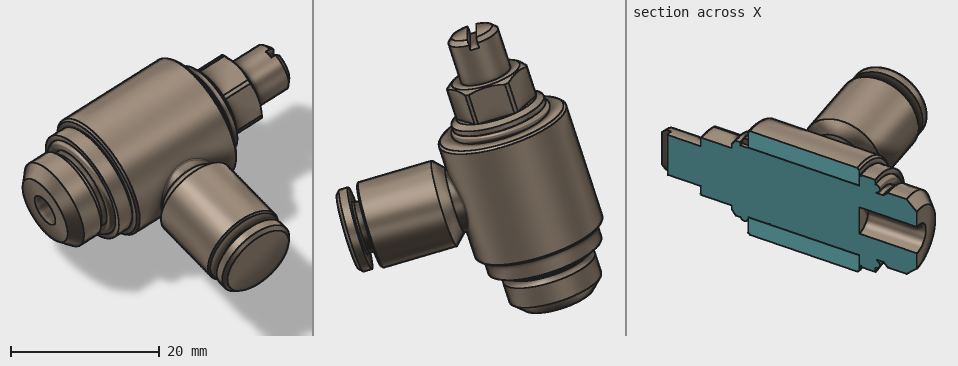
import cadquery as cq
import math


HOUSING_DIAMETER = 18.0
HOUSING_LENGTH = 17.05
HOUSING_CHAMFER = 0.3
HOUSING_FRONT = -HOUSING_LENGTH / 2
HOUSING_BACK = HOUSING_LENGTH / 2

PORT_NECK_DIAMETER = 9.0
PORT_DIAMETER = 12.0
PORT_CONE_START = 9.25
PORT_ROOT_FILLET = 0.2
PORT_CONE_LENGTH = (PORT_DIAMETER - PORT_NECK_DIAMETER) / 2
PORT_END = 21.25
PORT_CHAMFER = 0.25

RING_NECK_DIAMETER = 7.1
RING_FLANGE_DIAMETER = 11.5
RING_FLANGE_START = 22.6
RING_TAPER_LENGTH = 0.3
RING_TAPER_RISE = 0.15
RING_CHAMFER = 0.5
RING_END = 24.3

SHANK_DIAMETER = 11.95

NOSE_DIAMETER = 13.0
NOSE_NECK_DIAMETER = 11.6
NOSE_TIP_CHAMFER = 1.6
NOSE_LENGTH = 4.45
NOSE_BACK_CHAMFER = (NOSE_DIAMETER - NOSE_NECK_DIAMETER) / 2
COLLAR_DIAMETER = 16.0
COLLAR_LENGTH = 2.25
SPACER_DIAMETER = 15.55
SPACER_LENGTH = 0.2
SEAL_TUBE_RADIUS = 0.7
SEAL_CENTER_RADIUS = 6.5
BORE_DIAMETER = 4.5
BORE_DEPTH = 8.8

CLIP_THICKNESS = 1.15
CLIP_OUTER_DIAMETER = 13.85
CLIP_GAP = 0.5
FLANGE_DIAMETER = 13.05
FLANGE_LENGTH = 1.35
FLANGE_BEVEL_LENGTH = 0.6
FLANGE_BEVEL_DEPTH = 0.85
HEX_ACROSS_FLATS = 10.0
HEX_CORNER_DIAMETER = 11.22
HEX_LENGTH = 4.8
HEX_TOP_DIAMETER = 9.55
HEX_CHAMFER_ANGLE = 30.0
STEM_DIAMETER = 7.0
STEM_CHAMFER = 0.65
SLOT_WIDTH = 1.22
SLOT_DEPTH = 1.35

TOTAL_LENGTH = 39.5
COLLAR_BACK = HOUSING_FRONT - SPACER_LENGTH
COLLAR_FRONT = COLLAR_BACK - COLLAR_LENGTH
NOSE_TIP = -17.35
NOSE_BACK = NOSE_TIP + NOSE_LENGTH
CLIP_BACK = HOUSING_BACK + CLIP_THICKNESS
FLANGE_BACK = CLIP_BACK + FLANGE_LENGTH
HEX_BACK = FLANGE_BACK + HEX_LENGTH
STEM_END = NOSE_TIP + TOTAL_LENGTH


def cylinder_y(diameter, y_start, y_end):
    """Solid cylinder on the Y axis between two stations."""
    return cq.Workplane("XZ", origin=(0, y_start, 0)).circle(diameter / 2).extrude(y_start - y_end)


def revolve_y(points):
    """Solid of revolution about Y from (radius, y) points; the outline closes along the axis."""
    outline = [(0, points[0][1]), *points, (0, points[-1][1])]
    return cq.Workplane("XY").polyline(outline).close().revolve(360, (0, 0), (0, 1))


def make_port():
    """Neck, cone, port sleeve and release ring, turned about the X axis."""
    neck_radius = PORT_NECK_DIAMETER / 2
    port_radius = PORT_DIAMETER / 2
    ring_neck_radius = RING_NECK_DIAMETER / 2
    ring_radius = RING_FLANGE_DIAMETER / 2
    outline = [
        (0, 0),
        (0, neck_radius),
        (PORT_CONE_START, neck_radius),
        (PORT_CONE_START + PORT_CONE_LENGTH, port_radius),
        (PORT_END - PORT_CHAMFER, port_radius),
        (PORT_END, port_radius - PORT_CHAMFER),
        (PORT_END, ring_neck_radius),
        (RING_FLANGE_START - RING_TAPER_LENGTH, ring_neck_radius),
        (RING_FLANGE_START, ring_neck_radius + RING_TAPER_RISE),
        (RING_FLANGE_START, ring_radius),
        (RING_END - RING_CHAMFER, ring_radius),
        (RING_END, ring_radius - RING_CHAMFER),
        (RING_END, 0),
    ]
    return cq.Workplane("XY").polyline(outline).close().revolve(360, (0, 0), (1, 0))


def make_housing():
    """Swivel sleeve with its port, filleted at the port root and bored for the bolt shank."""
    sleeve = cylinder_y(HOUSING_DIAMETER, HOUSING_FRONT, HOUSING_BACK)
    sleeve = sleeve.faces("<Y or >Y").chamfer(HOUSING_CHAMFER)
    bore = cylinder_y(SHANK_DIAMETER, HOUSING_FRONT, HOUSING_BACK)
    body = sleeve.union(make_port())
    half_neck = PORT_NECK_DIAMETER / 2
    root_zone = cq.selectors.BoxSelector(
        (0, -half_neck, -half_neck),
        (HOUSING_DIAMETER / 2, half_neck, half_neck),
    )
    body = body.edges(root_zone).fillet(PORT_ROOT_FILLET)
    return body.cut(bore)


def make_turned_bolt():
    """Turned outline of the bolt from the nose tip to the back of the flange."""
    nose_radius = NOSE_DIAMETER / 2
    neck_radius = NOSE_NECK_DIAMETER / 2
    collar_radius = COLLAR_DIAMETER / 2
    spacer_radius = SPACER_DIAMETER / 2
    shank_radius = SHANK_DIAMETER / 2
    flange_radius = FLANGE_DIAMETER / 2
    return revolve_y([
        (nose_radius - NOSE_TIP_CHAMFER, NOSE_TIP),
        (nose_radius, NOSE_TIP + NOSE_TIP_CHAMFER),
        (nose_radius, NOSE_BACK),
        (neck_radius, NOSE_BACK + NOSE_BACK_CHAMFER),
        (neck_radius, COLLAR_FRONT),
        (collar_radius, COLLAR_FRONT),
        (collar_radius, COLLAR_BACK),
        (spacer_radius, COLLAR_BACK),
        (spacer_radius, HOUSING_FRONT),
        (shank_radius, HOUSING_FRONT),
        (shank_radius, CLIP_BACK),
        (flange_radius, CLIP_BACK),
        (flange_radius, FLANGE_BACK - FLANGE_BEVEL_LENGTH),
        (flange_radius - FLANGE_BEVEL_DEPTH, FLANGE_BACK),
    ])


def make_seal():
    """Sealing ring bedded half deep in the front face of the collar."""
    profile = cq.Workplane("XY").center(SEAL_CENTER_RADIUS, COLLAR_FRONT).circle(SEAL_TUBE_RADIUS)
    return profile.revolve(360, (-SEAL_CENTER_RADIUS, 0), (-SEAL_CENTER_RADIUS, 1))


def make_clip():
    """Round-edged retaining ring with a gap on the +Z side."""
    inner_radius = SHANK_DIAMETER / 2
    outer_radius = CLIP_OUTER_DIAMETER / 2
    shoulder_radius = outer_radius - CLIP_THICKNESS / 2
    ring = (
        cq.Workplane("XY")
        .moveTo(inner_radius, HOUSING_BACK)
        .lineTo(shoulder_radius, HOUSING_BACK)
        .threePointArc((outer_radius, HOUSING_BACK + CLIP_THICKNESS / 2), (shoulder_radius, CLIP_BACK))
        .lineTo(inner_radius, CLIP_BACK)
        .close()
        .revolve(360, (0, 0), (0, 1))
    )
    gap = cq.Workplane("XY").center(0, HOUSING_BACK + CLIP_THICKNESS / 2).rect(CLIP_GAP, CLIP_THICKNESS)
    return ring.cut(gap.extrude(CLIP_OUTER_DIAMETER))


def make_hexagon():
    """Hexagon with flats facing +Z and -Z, rounded corners and a coned back edge."""
    across_corners = HEX_ACROSS_FLATS / math.cos(math.radians(30))
    prism = cq.Workplane("XZ", origin=(0, FLANGE_BACK, 0)).polygon(6, across_corners).extrude(-HEX_LENGTH)
    corner_radius = HEX_CORNER_DIAMETER / 2
    top_radius = HEX_TOP_DIAMETER / 2
    chamfer_height = (corner_radius - top_radius) * math.tan(math.radians(HEX_CHAMFER_ANGLE))
    envelope = revolve_y([
        (corner_radius, FLANGE_BACK),
        (corner_radius, HEX_BACK - chamfer_height),
        (top_radius, HEX_BACK),
    ])
    return prism.intersect(envelope)


def make_stem():
    """Adjusting stem with a chamfered end and a screwdriver slot along Z."""
    stem = cylinder_y(STEM_DIAMETER, HEX_BACK, STEM_END).faces(">Y").chamfer(STEM_CHAMFER)
    slot = cq.Workplane("XY").box(SLOT_WIDTH, 2 * SLOT_DEPTH, STEM_DIAMETER)
    return stem.cut(slot.translate((0, STEM_END, 0)))


def make_bolt():
    """Hollow bolt with its seal, retaining ring, hexagon and stem, bored from the nose."""
    bolt = make_turned_bolt()
    for feature in (make_seal(), make_clip(), make_hexagon(), make_stem()):
        bolt = bolt.union(feature)
    return bolt.cut(cylinder_y(BORE_DIAMETER, NOSE_TIP, NOSE_TIP + BORE_DEPTH))


housing = make_housing()
bolt = make_bolt()

result = cq.Compound.makeCompound([housing.val(), bolt.val()])